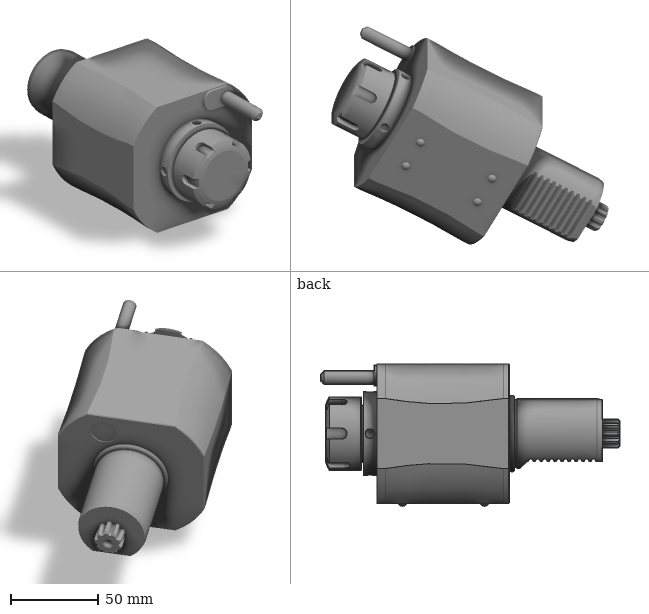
import cadquery as cq


shank_start = 10.0
body_start = 63.2
body_end = 139.1
ring_end = 146.8
nut_start = 147.9
nut_end = 168.6
overall_length = 171.3

tooth_count = 9
spline_radius = 8.2
spline_root_radius = 6.3
tooth_tip_width = 1.7
tooth_base_width = 3.3
spline_chamfer = 1.0
center_hole_mouth_radius = 3.0
center_hole_radius = 2.2
center_hole_depth = 4.3

shank_radius = 20.0
shank_chamfer_length = 3.0
shank_chamfer_depth = 0.7
neck_start = 59.0
neck_end = 60.3
neck_radius = 19.5
bead_radius = 22.0
rack_height = 16.0
rack_end = 53.3
notch_count = 10
notch_pitch = 4.0
first_notch = 15.0
notch_depth = 1.4
notch_root_width = 1.4
notch_mouth_width = 2.9

body_width = 86.0
body_height = 79.8
corner_radius = 47.5
waist_radius = 46.3
front_land = 3.5
rear_land = 4.8
body_chamfer = 0.5
recess_y = 16.0
recess_z = 27.8
recess_radius = 7.5
recess_depth = 0.5

bump_stations = (77.5, 124.4)
bump_offset = 8.5
bump_sphere_radius = 2.5
bump_height = 1.7

ring_radius = 24.0
ring_hole_count = 4
ring_hole_x = 143.0
ring_hole_radius = 2.7
ring_hole_depth = 2.5
drill_tip_length = 1.7
nut_neck_radius = 16.5
nut_radius = 21.0
nut_rear_chamfer = 0.5
nut_crown_start = 166.4
nut_crown_middle_x = 167.9
nut_crown_middle_radius = 18.0
nut_face_radius = 15.5
slot_count = 6
slot_width = 6.2
slot_start = 156.3
long_slot_start = 154.4
long_slot_angles = (240, 300)
slot_floor_radius = 17.8

pin_y = 23.5
pin_z = 32.0
pin_radius = 4.0
pin_chamfer = 2.0
plate_center_y = 18.2
plate_z = 33.2
plate_length = 21.2
plate_width = 12.0
plate_thickness = 1.5


def turned(outline):
    """Revolve a closed (x, radius) polyline about the X axis."""
    return cq.Workplane("XY").polyline(outline).close().revolve(360, (0, 0, 0), (1, 0, 0))


def across_x(x):
    """Workplane square to the X axis, with local axes along Y and Z."""
    return cq.Workplane("YZ", origin=(x, 0, 0))


def about_x(shape, angle):
    return shape.rotate((0, 0, 0), (1, 0, 0), angle)


def make_spline():
    core = across_x(0).circle(spline_root_radius).extrude(shank_start)
    tooth_outline = [
        (0, -tooth_base_width / 2),
        (spline_root_radius, -tooth_base_width / 2),
        (spline_radius, -tooth_tip_width / 2),
        (spline_radius, tooth_tip_width / 2),
        (spline_root_radius, tooth_base_width / 2),
        (0, tooth_base_width / 2),
    ]
    tooth = across_x(0).polyline(tooth_outline).close().extrude(shank_start)
    for i in range(tooth_count):
        core = core.union(about_x(tooth, i * 360 / tooth_count))

    envelope = turned([
        (0, 0),
        (0, spline_radius - spline_chamfer),
        (spline_chamfer, spline_radius),
        (shank_start, spline_radius),
        (shank_start, 0),
    ])
    center_hole = turned([
        (0, 0),
        (0, center_hole_mouth_radius),
        (center_hole_mouth_radius - center_hole_radius, center_hole_radius),
        (center_hole_depth, center_hole_radius),
        (center_hole_depth, 0),
    ])
    return core.intersect(envelope).cut(center_hole)


def make_shank():
    bead_crest = (neck_end + body_start) / 2
    shank = (
        cq.Workplane("XY")
        .moveTo(shank_start, 0)
        .lineTo(shank_start, shank_radius - shank_chamfer_depth)
        .lineTo(shank_start + shank_chamfer_length, shank_radius)
        .lineTo(neck_start, shank_radius)
        .lineTo(neck_start, neck_radius)
        .lineTo(neck_end, neck_radius)
        .lineTo(neck_end, shank_radius)
        .threePointArc((bead_crest, bead_radius), (body_start, shank_radius))
        .lineTo(body_start, 0)
        .close()
        .revolve(360, (0, 0, 0), (1, 0, 0))
    )

    flat_drop = shank_radius - rack_height
    flat_outline = [
        (shank_start, -rack_height),
        (rack_end, -rack_height),
        (rack_end + flat_drop, -shank_radius),
        (shank_start, -shank_radius),
    ]
    flat = cq.Workplane("XZ").polyline(flat_outline).close().extrude(shank_radius, both=True)
    shank = shank.cut(flat)

    notch_outline = [
        (-notch_mouth_width / 2, -rack_height),
        (-notch_root_width / 2, notch_depth - rack_height),
        (notch_root_width / 2, notch_depth - rack_height),
        (notch_mouth_width / 2, -rack_height),
    ]
    notch = cq.Workplane("XZ").polyline(notch_outline).close().extrude(shank_radius, both=True)
    for i in range(notch_count):
        shank = shank.cut(notch.translate((first_notch + i * notch_pitch, 0, 0)))
    return shank


def make_body():
    body_length = body_end - body_start
    waist_start = body_start + front_land
    waist_end = body_end - rear_land
    block = across_x(body_start).rect(body_width, body_height).extrude(body_length)
    waisted_round = (
        cq.Workplane("XY")
        .moveTo(body_start, 0)
        .lineTo(body_start, corner_radius)
        .lineTo(waist_start, corner_radius)
        .threePointArc(((waist_start + waist_end) / 2, waist_radius), (waist_end, corner_radius))
        .lineTo(body_end, corner_radius)
        .lineTo(body_end, 0)
        .close()
        .revolve(360, (0, 0, 0), (1, 0, 0))
    )
    body = block.intersect(waisted_round).faces("<X").edges().chamfer(body_chamfer)
    recess = across_x(body_start).center(recess_y, recess_z).circle(recess_radius).extrude(recess_depth)
    return body.cut(recess)


def make_bumps():
    """Spheres sunk into the underside so that only low domes stand proud."""
    bump = cq.Workplane("XY").sphere(bump_sphere_radius)
    center_z = bump_sphere_radius - bump_height - body_height / 2
    return [
        bump.translate((x, y, center_z))
        for x in bump_stations
        for y in (-bump_offset, bump_offset)
    ]


def make_ring():
    ring = across_x(body_end).circle(ring_radius).extrude(ring_end - body_end)
    hole_floor = ring_radius - ring_hole_depth
    drill = (
        cq.Workplane("XZ")
        .polyline([
            (0, ring_radius),
            (ring_hole_radius, ring_radius),
            (ring_hole_radius, hole_floor),
            (0, hole_floor - drill_tip_length),
        ])
        .close()
        .revolve(360, (0, 0, 0), (0, 1, 0))
        .translate((ring_hole_x, 0, 0))
    )
    for i in range(ring_hole_count):
        ring = ring.cut(about_x(drill, i * 360 / ring_hole_count))
    return ring


def make_nut_slot(start):
    """Return the +Y cutter for a round-ended slot, tall enough to clear the nut surface."""
    end_center = start + slot_width / 2
    return (
        cq.Workplane("XZ", origin=(0, slot_floor_radius, 0))
        .moveTo(nut_end, -slot_width / 2)
        .lineTo(end_center, -slot_width / 2)
        .threePointArc((start, 0), (end_center, slot_width / 2))
        .lineTo(nut_end, slot_width / 2)
        .close()
        .extrude(slot_floor_radius - ring_radius)
    )


def make_nut():
    nut = (
        cq.Workplane("XY")
        .moveTo(ring_end, 0)
        .lineTo(ring_end, nut_neck_radius)
        .lineTo(nut_start, nut_neck_radius)
        .lineTo(nut_start, nut_radius - nut_rear_chamfer)
        .lineTo(nut_start + nut_rear_chamfer, nut_radius)
        .lineTo(nut_crown_start, nut_radius)
        .threePointArc((nut_crown_middle_x, nut_crown_middle_radius), (nut_end, nut_face_radius))
        .lineTo(nut_end, 0)
        .close()
        .revolve(360, (0, 0, 0), (1, 0, 0))
    )
    for i in range(slot_count):
        angle = i * 360 // slot_count
        start = long_slot_start if angle in long_slot_angles else slot_start
        nut = nut.cut(about_x(make_nut_slot(start), angle))
    return nut


def make_pin():
    plate = (
        across_x(body_end)
        .center(plate_center_y, plate_z)
        .slot2D(plate_length, plate_width)
        .extrude(plate_thickness)
    )
    pin = (
        across_x(body_end)
        .center(pin_y, pin_z)
        .circle(pin_radius)
        .extrude(overall_length - body_end)
        .faces(">X")
        .chamfer(pin_chamfer)
    )
    return plate.union(pin)


result = make_body()
for piece in [make_spline(), make_shank(), *make_bumps(), make_ring(), make_nut(), make_pin()]:
    result = result.union(piece)